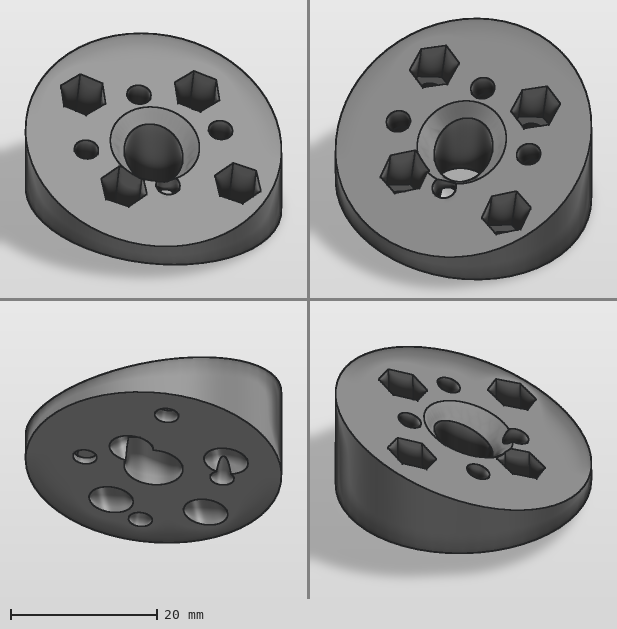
import cadquery as cq
import math

body_diameter = 35.0
centre_height = 9.52
top_slope = 20.0
bottom_slope = 6.0
clearance = 35.0

bore_diameter = 8.0
rim_diameter = 12.18
rim_offset = 0.7
flare_depth = 2.25
flare_base_slope = 30.0

motor_spacing_x = 16.0
motor_spacing_y = 19.0
screw_hole_diameter = 3.3
screw_head_diameter = 5.78
motor_plate_thickness = 4.55
thin_plate_thickness = 3.08

motor_screws = [
    (motor_spacing_x / 2, 0, thin_plate_thickness),
    (-motor_spacing_x / 2, 0, motor_plate_thickness),
    (0, motor_spacing_y / 2, motor_plate_thickness),
    (0, -motor_spacing_y / 2, motor_plate_thickness),
]

long_bolt_spacing = 25.0
short_bolt_spacing = 19.0
bolt_hole_diameter = 3.25
nut_corner_diameter = 6.65
bolts = [
    (long_bolt_spacing, 45.0, 2.0, -2.0),
    (short_bolt_spacing, 135.0, 8.0, -5.5),
    (long_bolt_spacing, 225.0, 7.0, -6.0),
    (short_bolt_spacing, 315.0, 1.0, -2.0),
]

top_angle = math.radians(top_slope)
bottom_angle = math.radians(bottom_slope)
top_plane = cq.Plane(
    origin=(0, 0, centre_height),
    xDir=(math.cos(top_angle), 0, -math.sin(top_angle)),
    normal=(math.sin(top_angle), 0, math.cos(top_angle)),
)
bottom_plane = cq.Plane(
    origin=(0, 0, 0),
    xDir=(1, 0, 0),
    normal=(0, math.sin(bottom_angle), math.cos(bottom_angle)),
)


def make_wedge():
    """Bored cylinder between the sloping faces."""
    column = (
        cq.Workplane("XY").workplane(offset=-clearance)
        .circle(body_diameter / 2).circle(bore_diameter / 2)
        .extrude(2 * clearance)
    )
    block_side = 4 * clearance
    above_top = cq.Workplane(top_plane).rect(block_side, block_side).extrude(2 * clearance)
    below_bottom = cq.Workplane(bottom_plane).rect(block_side, block_side).extrude(-2 * clearance)
    return column.cut(above_top).cut(below_bottom)


def tilted_ellipse(diameter, centre, slope):
    """Ellipse falling toward +X at the given slope that looks circular along Z."""
    angle = math.radians(slope)
    across = cq.Vector(math.cos(angle), 0, -math.sin(angle))
    normal = cq.Vector(math.sin(angle), 0, math.cos(angle))
    long_radius = diameter / 2 / math.cos(angle)
    edge = cq.Edge.makeEllipse(long_radius, diameter / 2, cq.Vector(*centre), normal, across)
    return cq.Wire.assembleEdges([edge])


def flare_cutter():
    """Conical mouth running straight from the tilted rim at the top face to the bore wall."""
    rim_height = centre_height - rim_offset * math.tan(top_angle)
    rim = tilted_ellipse(rim_diameter, (rim_offset, 0, rim_height), top_slope)
    base = tilted_ellipse(bore_diameter, (0, 0, centre_height - flare_depth), flare_base_slope)
    return cq.Workplane(cq.Solid.makeLoft([base, rim], True))


def motor_screw_cutter(x, y, plate_thickness):
    """Stepped hole: shank at the top face, head clearance running out of the bottom."""
    shank = (
        cq.Workplane(top_plane).center(x, y)
        .circle(screw_hole_diameter / 2).extrude(-plate_thickness)
    )
    head = (
        cq.Workplane(top_plane).workplane(offset=-plate_thickness).center(x, y)
        .circle(screw_head_diameter / 2).extrude(-clearance)
    )
    return shank.union(head)


def bolt_cutter(spacing, direction, floor, nut_rotation):
    """Bolt hole through the bottom face and a hexagonal nut pocket open at the top."""
    angle = math.radians(direction)
    x = spacing / 2 * math.cos(angle)
    y = spacing / 2 * math.sin(angle)
    hole = (
        cq.Workplane(bottom_plane).center(x, y)
        .circle(bolt_hole_diameter / 2).extrude(clearance, both=True)
    )
    pocket = (
        cq.Workplane(bottom_plane).workplane(offset=floor).center(x, y)
        .transformed(rotate=(0, 0, nut_rotation))
        .polygon(6, nut_corner_diameter).extrude(clearance)
    )
    return hole.union(pocket)


result = make_wedge().cut(flare_cutter())
for screw in motor_screws:
    result = result.cut(motor_screw_cutter(*screw))
for bolt in bolts:
    result = result.cut(bolt_cutter(*bolt))